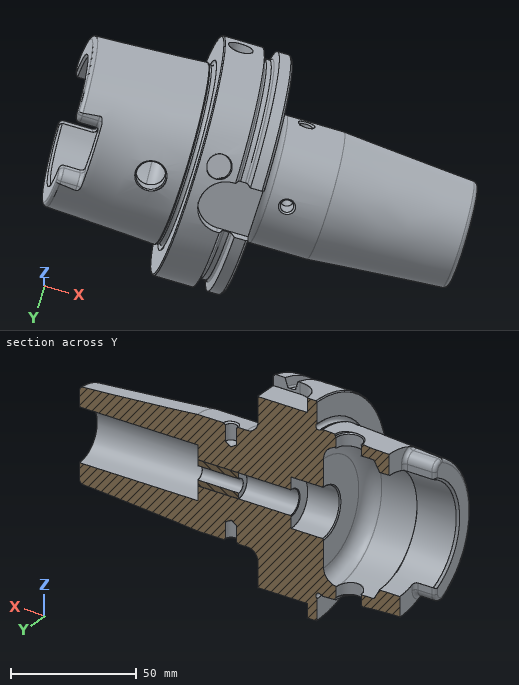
import math
import cadquery as cq


SHANK_LENGTH = 50.0
TAPER_END_X = 47.4
TAPER_LARGE_RADIUS = 38.0
TAPER_SLOPE = 0.05
MOUTH_FILLET = 1.6
TAPER_SMALL_RADIUS = TAPER_LARGE_RADIUS - TAPER_SLOPE * TAPER_END_X

UNDERCUT_RADIUS = 37.5
UNDERCUT_FLOOR_END_X = 48.5
UNDERCUT_DEPTH = 0.7
UNDERCUT_FACE_RADIUS = 39.6

FLANGE_RADIUS = 50.0
FLANGE_END_X = 78.9
FLANGE_FRONT_CHAMFER = 0.5
FLANGE_BACK_CHAMFER = 1.0
GROOVE_CENTRE_X = 70.0
GROOVE_TOP_WIDTH = 6.3
GROOVE_FLOOR_WIDTH = 3.5
GROOVE_FLOOR_RADIUS = 45.9
GROOVE_FILLET = 1.0

NECK_RADIUS = 26.5
NECK_FILLET = 5.0
NECK_FILLET_END_X = 83.8
NECK_END_X = 107.7
NOSE_END_X = 165.0
NOSE_ANGLE = 4.5
NOSE_FILLET = 2.0
NOSE_END_RADIUS = NECK_RADIUS - (NOSE_END_X - NECK_END_X) * math.tan(math.radians(NOSE_ANGLE))

MOUTH_BORE_RADIUS = 26.5
MOUTH_BORE_CHAMFER = 1.0
MOUTH_BORE_END_X = 20.0
HOLLOW_RADIUS = 31.4
HOLLOW_FLOOR_RADIUS = 24.8
CLAMPING_ANGLE = 60
HOLLOW_END_X = 46.9
THREAD_RADIUS = 11.5
THREAD_CHAMFER = 0.5
THREAD_END_X = 62.5
PASSAGE_RADIUS = 5.8
PASSAGE_CHAMFER = 0.3
TOOL_BORE_RADIUS = 12.5
TOOL_BORE_START_X = 107.7

NOTCH_HALF_WIDTH = 10.2
NOTCH_ARC_RADIUS = 4.3
NOTCH_LEDGE_Z = 32.0
NOTCH_FILLET = 1.6
TOP_NOTCH_DEPTH = 15.2
BOTTOM_NOTCH_DEPTH = 10.0

KEYWAY_START_X = 55.0
KEYWAY_WIDTH = 22.0
KEYWAY_FLOOR_Z = 43.4

CROSS_HOLE_X = 34.8
CROSS_HOLE_RADIUS = 6.0
CROSS_HOLE_CHAMFER = 0.5

RECESS_RADIUS = 5.1
RECESS_DEPTH = 5.0
CHIP_RECESS_X = 57.0
CHIP_RECESS_ANGLE = 0
LOWER_RECESS_X = 58.7
LOWER_RECESS_ANGLE = 72

BALANCE_HOLE_X = 91.7
BALANCE_HOLE_RADIUS = 2.6
BALANCE_HOLE_DEPTH = 8.2
BALANCE_HOLE_COUNT = 4
COUNTERSINK_RADIUS = 3.5
DRILL_TIP_ANGLE = 118

SCREW_LENGTH = 19.8
SCREW_BORE_RADIUS = 3.1


def revolve_about_x(outline):
    return outline.close().revolve(360, (0, 0, 0), (1, 0, 0))


def outer_shape():
    """Shank, flange and nose turned in one piece."""
    fillet_centre_r = NECK_RADIUS + NECK_FILLET
    fillet_run = NECK_FILLET_END_X - FLANGE_END_X
    fillet_start_r = fillet_centre_r - math.sqrt(NECK_FILLET**2 - fillet_run**2)
    mid_angle = math.asin(fillet_run / NECK_FILLET) / 2
    fillet_mid = (
        NECK_FILLET_END_X - NECK_FILLET * math.sin(mid_angle),
        fillet_centre_r - NECK_FILLET * math.cos(mid_angle),
    )
    undercut_mid = (SHANK_LENGTH + UNDERCUT_DEPTH, (UNDERCUT_RADIUS + UNDERCUT_FACE_RADIUS) / 2)
    undercut_step = TAPER_LARGE_RADIUS - UNDERCUT_RADIUS
    outline = (
        cq.Workplane("XY")
        .lineTo(0, TAPER_SMALL_RADIUS)
        .lineTo(TAPER_END_X, TAPER_LARGE_RADIUS)
        .lineTo(TAPER_END_X + undercut_step, UNDERCUT_RADIUS)
        .lineTo(UNDERCUT_FLOOR_END_X, UNDERCUT_RADIUS)
        .threePointArc(undercut_mid, (SHANK_LENGTH, UNDERCUT_FACE_RADIUS))
        .lineTo(SHANK_LENGTH, FLANGE_RADIUS - FLANGE_FRONT_CHAMFER)
        .lineTo(SHANK_LENGTH + FLANGE_FRONT_CHAMFER, FLANGE_RADIUS)
        .lineTo(FLANGE_END_X - FLANGE_BACK_CHAMFER, FLANGE_RADIUS)
        .lineTo(FLANGE_END_X, FLANGE_RADIUS - FLANGE_BACK_CHAMFER)
        .lineTo(FLANGE_END_X, fillet_start_r)
        .threePointArc(fillet_mid, (NECK_FILLET_END_X, NECK_RADIUS))
        .lineTo(NECK_END_X, NECK_RADIUS)
        .lineTo(NOSE_END_X, NOSE_END_RADIUS)
        .lineTo(NOSE_END_X, 0)
    )
    return revolve_about_x(outline).faces(">X").edges().fillet(NOSE_FILLET)


def gripper_groove():
    """Ring with a trapezoid section that cuts the groove into the flange rim."""
    outline = (
        cq.Workplane("XY")
        .moveTo(GROOVE_CENTRE_X - GROOVE_TOP_WIDTH / 2, FLANGE_RADIUS)
        .lineTo(GROOVE_CENTRE_X - GROOVE_FLOOR_WIDTH / 2, GROOVE_FLOOR_RADIUS)
        .lineTo(GROOVE_CENTRE_X + GROOVE_FLOOR_WIDTH / 2, GROOVE_FLOOR_RADIUS)
        .lineTo(GROOVE_CENTRE_X + GROOVE_TOP_WIDTH / 2, FLANGE_RADIUS)
    )
    floor_edges = cq.selectors.RadiusNthSelector(0)
    ring = revolve_about_x(outline)
    return ring.edges(floor_edges).fillet(GROOVE_FILLET)


def axial_bores():
    """Stepped passage along the whole length, widened behind the mouth by a clamping cone."""
    cone_length = (HOLLOW_RADIUS - MOUTH_BORE_RADIUS) / math.tan(math.radians(CLAMPING_ANGLE))
    floor_fillet = HOLLOW_RADIUS - HOLLOW_FLOOR_RADIUS
    arc_mid_inset = floor_fillet * (1 - math.sqrt(0.5))
    floor_arc_mid = (HOLLOW_END_X - arc_mid_inset, HOLLOW_RADIUS - arc_mid_inset)
    outline = (
        cq.Workplane("XY")
        .lineTo(0, MOUTH_BORE_RADIUS + MOUTH_BORE_CHAMFER)
        .lineTo(MOUTH_BORE_CHAMFER, MOUTH_BORE_RADIUS)
        .lineTo(MOUTH_BORE_END_X, MOUTH_BORE_RADIUS)
        .lineTo(MOUTH_BORE_END_X + cone_length, HOLLOW_RADIUS)
        .lineTo(HOLLOW_END_X - floor_fillet, HOLLOW_RADIUS)
        .threePointArc(floor_arc_mid, (HOLLOW_END_X, HOLLOW_FLOOR_RADIUS))
        .lineTo(HOLLOW_END_X, THREAD_RADIUS + THREAD_CHAMFER)
        .lineTo(HOLLOW_END_X + THREAD_CHAMFER, THREAD_RADIUS)
        .lineTo(THREAD_END_X, THREAD_RADIUS)
        .lineTo(THREAD_END_X, PASSAGE_RADIUS + PASSAGE_CHAMFER)
        .lineTo(THREAD_END_X + PASSAGE_CHAMFER, PASSAGE_RADIUS)
        .lineTo(TOOL_BORE_START_X, PASSAGE_RADIUS)
        .lineTo(TOOL_BORE_START_X, TOOL_BORE_RADIUS)
        .lineTo(NOSE_END_X, TOOL_BORE_RADIUS)
        .lineTo(NOSE_END_X, 0)
    )
    return revolve_about_x(outline)


def drive_notch(depth):
    """Notch on the +Z side: a straight slot whose walls roll over onto flat ledges."""
    arc_centre_y = NOTCH_HALF_WIDTH + NOTCH_ARC_RADIUS
    arc_centre_z = NOTCH_LEDGE_Z - NOTCH_ARC_RADIUS
    arc_mid_offset = NOTCH_ARC_RADIUS * math.sqrt(0.5)
    arc_mid_y = arc_centre_y - arc_mid_offset
    arc_mid_z = arc_centre_z + arc_mid_offset
    outer_y = MOUTH_BORE_RADIUS
    top_z = FLANGE_RADIUS
    section = (
        cq.Workplane("YZ")
        .moveTo(-NOTCH_HALF_WIDTH, 0)
        .lineTo(-NOTCH_HALF_WIDTH, arc_centre_z)
        .threePointArc((-arc_mid_y, arc_mid_z), (-arc_centre_y, NOTCH_LEDGE_Z))
        .lineTo(-outer_y, NOTCH_LEDGE_Z)
        .lineTo(-outer_y, top_z)
        .lineTo(outer_y, top_z)
        .lineTo(outer_y, NOTCH_LEDGE_Z)
        .lineTo(arc_centre_y, NOTCH_LEDGE_Z)
        .threePointArc((arc_mid_y, arc_mid_z), (NOTCH_HALF_WIDTH, arc_centre_z))
        .lineTo(NOTCH_HALF_WIDTH, 0)
        .close()
    )
    return section.extrude(depth).faces(">X").edges().fillet(NOTCH_FILLET)


def keyway():
    """Round-ended keyway on the +Z side, open toward the nose."""
    end_radius = KEYWAY_WIDTH / 2
    centre_x = KEYWAY_START_X + end_radius
    return (
        cq.Workplane("XY", origin=(0, 0, KEYWAY_FLOOR_Z))
        .moveTo(FLANGE_END_X, -end_radius)
        .lineTo(centre_x, -end_radius)
        .threePointArc((KEYWAY_START_X, 0), (centre_x, end_radius))
        .lineTo(FLANGE_END_X, end_radius)
        .close()
        .extrude(FLANGE_RADIUS - KEYWAY_FLOOR_Z)
    )


def mirrored_to_bottom(shape):
    return shape.mirror("XY")


def cross_hole():
    """Hole along Z through both shank walls, with a countersink at each outer end."""
    wall_radius = TAPER_LARGE_RADIUS - TAPER_SLOPE * (TAPER_END_X - CROSS_HOLE_X)
    sunk_radius = CROSS_HOLE_RADIUS + CROSS_HOLE_CHAMFER
    sink_edge_z = math.sqrt(wall_radius**2 - sunk_radius**2)
    hole = (
        cq.Workplane("XY", origin=(CROSS_HOLE_X, 0, 0))
        .circle(CROSS_HOLE_RADIUS)
        .extrude(FLANGE_RADIUS, both=True)
    )
    sink_cone = cq.Solid.makeCone(
        CROSS_HOLE_RADIUS,
        sunk_radius,
        CROSS_HOLE_CHAMFER,
        pnt=cq.Vector(CROSS_HOLE_X, 0, sink_edge_z - CROSS_HOLE_CHAMFER),
    )
    sink_mouth = (
        cq.Workplane("XY", origin=(CROSS_HOLE_X, 0, sink_edge_z))
        .circle(sunk_radius)
        .extrude(wall_radius - sink_edge_z + CROSS_HOLE_CHAMFER)
    )
    countersink = sink_mouth.union(cq.Workplane(sink_cone))
    return hole.union(countersink).union(mirrored_to_bottom(countersink))


def rim_recess(x, angle):
    """Flat-bottomed round recess in the flange rim, turned from -Y toward -Z by the angle."""
    return (
        cq.Workplane("XZ", origin=(x, -(FLANGE_RADIUS - RECESS_DEPTH), 0))
        .circle(RECESS_RADIUS)
        .extrude(RECESS_DEPTH)
        .rotate((0, 0, 0), (1, 0, 0), angle)
    )


def balance_hole(angle):
    """Countersunk blind hole with a drill-point bottom, turned about X from the +Z side."""
    sink_depth = COUNTERSINK_RADIUS - BALANCE_HOLE_RADIUS
    tip_depth = BALANCE_HOLE_RADIUS / math.tan(math.radians(DRILL_TIP_ANGLE / 2))
    hole_floor = NECK_RADIUS - BALANCE_HOLE_DEPTH
    return (
        cq.Workplane("XZ", origin=(BALANCE_HOLE_X, 0, 0))
        .moveTo(0, hole_floor - tip_depth)
        .lineTo(BALANCE_HOLE_RADIUS, hole_floor)
        .lineTo(BALANCE_HOLE_RADIUS, NECK_RADIUS - sink_depth)
        .lineTo(COUNTERSINK_RADIUS, NECK_RADIUS)
        .lineTo(0, NECK_RADIUS)
        .close()
        .revolve(360, (0, 0, 0), (0, 1, 0))
        .rotate((0, 0, 0), (1, 0, 0), angle)
    )


def make_holder():
    holder = outer_shape().cut(gripper_groove())
    holder = holder.cut(drive_notch(TOP_NOTCH_DEPTH))
    holder = holder.cut(mirrored_to_bottom(drive_notch(BOTTOM_NOTCH_DEPTH)))
    holder = holder.faces("<X").edges().fillet(MOUTH_FILLET)
    holder = holder.cut(axial_bores())
    holder = holder.cut(keyway()).cut(mirrored_to_bottom(keyway()))
    holder = holder.cut(cross_hole())
    holder = holder.cut(rim_recess(CHIP_RECESS_X, CHIP_RECESS_ANGLE))
    holder = holder.cut(rim_recess(LOWER_RECESS_X, LOWER_RECESS_ANGLE))
    for index in range(BALANCE_HOLE_COUNT):
        holder = holder.cut(balance_hole(index * 360 / BALANCE_HOLE_COUNT))
    return holder


def make_adjusting_screw():
    """Hollow screw that fills the passage just behind the tool bore."""
    return (
        cq.Workplane("YZ", origin=(TOOL_BORE_START_X - SCREW_LENGTH, 0, 0))
        .circle(PASSAGE_RADIUS)
        .circle(SCREW_BORE_RADIUS)
        .extrude(SCREW_LENGTH)
    )


holder = make_holder()
adjusting_screw = make_adjusting_screw()

result = cq.Compound.makeCompound([holder.val(), adjusting_screw.val()])